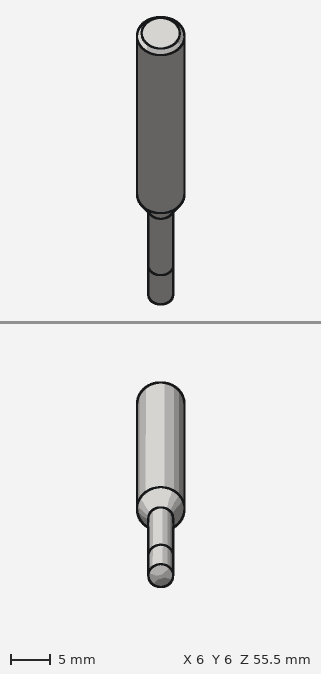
import cadquery as cq
import math

overall_length = 55.48
shank_diameter = 6.0
drill_diameter = 3.15
shank_length = 33.9
taper_length = 3.1
cutting_length = 6.6
shank_chamfer = 0.6
point_angle = 150.0

shank_radius = shank_diameter / 2
drill_radius = drill_diameter / 2
point_height = drill_radius / math.tan(math.radians(point_angle / 2))
shank_bottom = overall_length - shank_length
taper_bottom = shank_bottom - taper_length


def revolve_profile(points):
    """Turn a closed (radius, height) profile around the Z axis."""
    profile = cq.Workplane("XZ").polyline(points).close()
    return profile.revolve(360, (0, 0, 0), (0, 1, 0))


def make_shank():
    """Chamfered shank, taper and neck, ending flat on the cutting tip."""
    return revolve_profile([
        (0, cutting_length),
        (drill_radius, cutting_length),
        (drill_radius, taper_bottom),
        (shank_radius, shank_bottom),
        (shank_radius, overall_length - shank_chamfer),
        (shank_radius - shank_chamfer, overall_length),
        (0, overall_length),
    ])


def make_cutting_tip():
    """Cylindrical cutting tip with a shallow conical point."""
    return revolve_profile([
        (0, 0),
        (drill_radius, point_height),
        (drill_radius, cutting_length),
        (0, cutting_length),
    ])


shank = make_shank()
cutting_tip = make_cutting_tip()

result = cq.Compound.makeCompound([shank.val(), cutting_tip.val()])